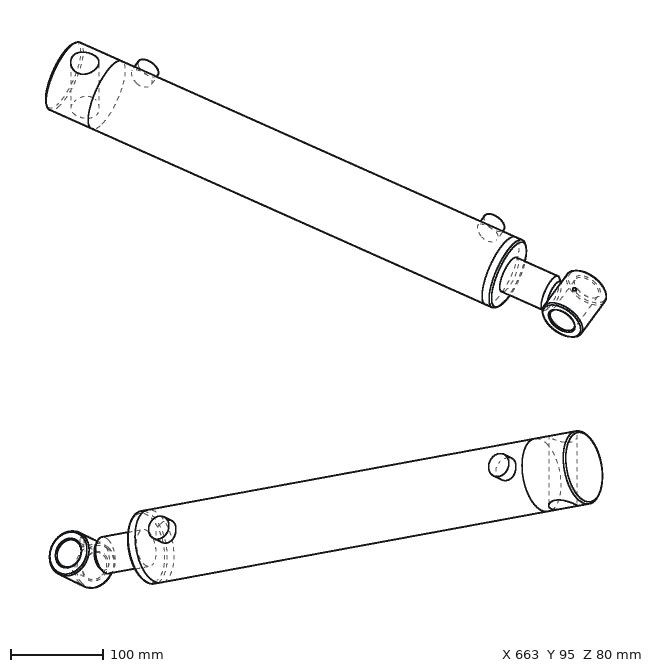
import cadquery as cq

overall_length = 663.0
overall_width = 95.0

body_diameter = 80.0
body_radius = body_diameter / 2
cap_length = 54.5
barrel_end = 545.5
gland_end = 556.0
end_chamfer = 2.0

pin_hole_diameter = 30.5
pin_hole_x = cap_length / 2

port_diameter = 26.0
port_top_y = overall_width - body_radius
port_positions_x = (75.0, 506.5)

eye_diameter = 50.5
eye_width = 55.0
eye_bore_diameter = 30.5
eye_chamfer = 1.65
bore_chamfer = 1.0
eye_x = overall_length - eye_diameter / 2
oil_hole_diameter = 4.0

rod_diameter = 40.5
rod_chamfer = 4.5
rod_end = overall_length - eye_diameter


def cylinder_along_x(diameter, start, end):
    return cq.Workplane("YZ", origin=(start, 0, 0)).circle(diameter / 2).extrude(end - start)


def cylinder_along_y(diameter, x, start, end):
    return cq.Workplane("XZ", origin=(x, start, 0)).circle(diameter / 2).extrude(start - end)


def make_cap():
    cap = cylinder_along_x(body_diameter, 0, cap_length).faces("<X").chamfer(end_chamfer)
    pin_hole = (
        cq.Workplane("XY")
        .center(pin_hole_x, 0)
        .circle(pin_hole_diameter / 2)
        .extrude(body_radius, both=True)
    )
    return cap.cut(pin_hole)


def make_barrel():
    return cylinder_along_x(body_diameter, cap_length, barrel_end)


def make_gland():
    return cylinder_along_x(body_diameter, barrel_end, gland_end).faces(">X").chamfer(end_chamfer)


def make_port(x, barrel):
    return cylinder_along_y(port_diameter, x, 0, port_top_y).cut(barrel)


def make_rod():
    return cylinder_along_x(rod_diameter, gland_end, rod_end).faces(">X").chamfer(rod_chamfer)


def make_eye():
    eye = cylinder_along_y(eye_diameter, eye_x, -eye_width / 2, eye_width / 2)
    eye = eye.faces("<Y or >Y").chamfer(eye_chamfer)
    bore = cylinder_along_y(eye_bore_diameter, eye_x, -eye_width / 2, eye_width / 2)
    eye = eye.cut(bore)
    eye = eye.faces("<Y or >Y").edges(cq.selectors.RadiusNthSelector(0)).chamfer(bore_chamfer)
    oil_hole = (
        cq.Workplane("XY").center(eye_x, 0).circle(oil_hole_diameter / 2).extrude(eye_diameter / 2)
    )
    return eye.cut(oil_hole)


cap = make_cap()
barrel = make_barrel()
gland = make_gland()
ports = [make_port(x, barrel) for x in port_positions_x]
rod = make_rod()
eye = make_eye()

result = cq.Compound.makeCompound(
    [cap.val(), barrel.val(), gland.val(), *[port.val() for port in ports], rod.val(), eye.val()]
)